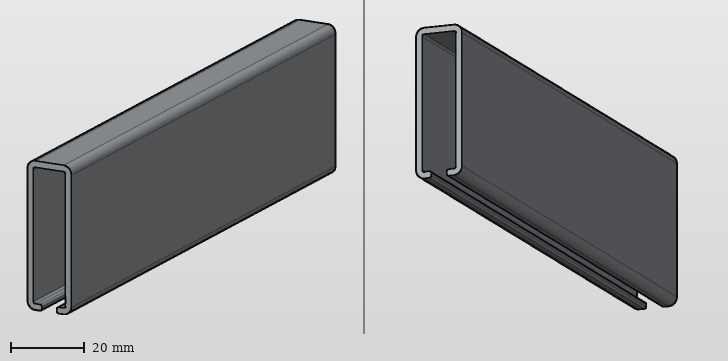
import cadquery as cq

length = 152.4
width = 13.5
height = 42.4
wall = 1.8
corner_radius = 2.5
inner_radius = corner_radius - wall
slot_width = 4.5
lip_edge_radius = 0.6
search_margin = wall / 4


def bar(size_x, size_z):
    """Full-length rectangular bar centred on the origin."""
    return cq.Workplane("XY").box(size_x, length, size_z)


outer = bar(width, height).edges("|Y").fillet(corner_radius)
cavity = bar(width - 2 * wall, height - 2 * wall).edges("|Y").fillet(inner_radius)
tube = outer.cut(cavity)

slot = bar(slot_width, wall).translate((0, 0, (wall - height) / 2))
channel = tube.cut(slot)

lip_edges = cq.selectors.BoxSelector(
    (-slot_width / 2 - search_margin, -length, -height / 2 - search_margin),
    (slot_width / 2 + search_margin, length, -height / 2 + wall + search_margin),
)
result = channel.edges("|Y").edges(lip_edges).fillet(lip_edge_radius)